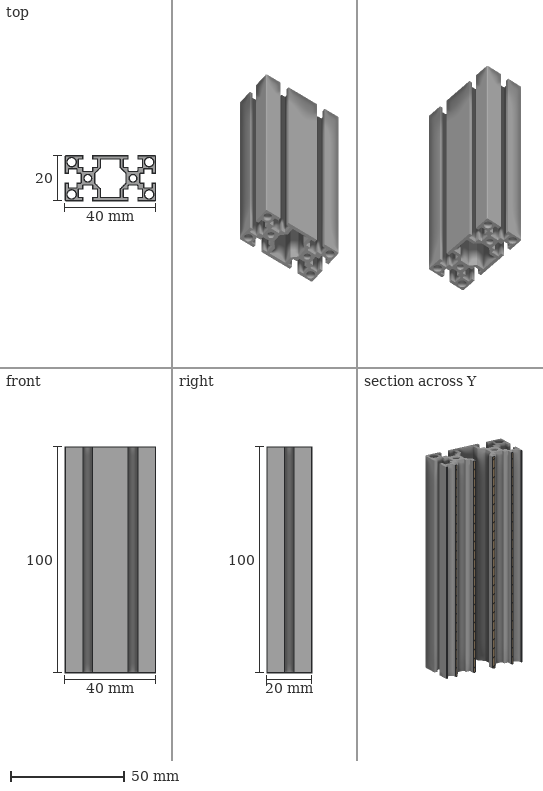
import cadquery as cq

WIDTH = 40.0
DEPTH = 20.0
LENGTH = 100.0
CORNER_RADIUS = 0.5

MODULE = 20.0
SLOT_OFFSET = (WIDTH - MODULE) / 2
WALL = 1.5
SLOT_OPENING = 4.3
SLOT_INNER_WIDTH = 8.4
SLOT_INNER_DEPTH = 3.7
SLOT_DEPTH = 7.0
FLOOR_RADIUS = 0.3

CORE_BORE_DIAMETER = 3.3
CORNER_BORE_DIAMETER = 4.0
CORNER_BORE_INSET = 2.85

CAVITY_HALF_WIDTH = SLOT_OFFSET - SLOT_INNER_WIDTH / 2 - WALL
CAVITY_HALF_DEPTH = DEPTH / 2 - WALL
CAVITY_WAIST_HALF_WIDTH = 6.9
CAVITY_WAIST_HALF_DEPTH = 2.2
CAVITY_SHOULDER = CAVITY_WAIST_HALF_DEPTH + CAVITY_WAIST_HALF_WIDTH - CAVITY_HALF_WIDTH


def make_body():
    """Full-length bar with rounded outer corners."""
    bar = cq.Workplane("XY").rect(WIDTH, DEPTH).extrude(LENGTH)
    return bar.edges("|Z").fillet(CORNER_RADIUS)


def make_slot():
    """T-slot cutter whose mouth lies on Y = 0 and which goes down along -Y."""
    shoulder = WALL + SLOT_INNER_DEPTH
    channel = cq.Workplane("XY").box(SLOT_OPENING, SLOT_DEPTH, LENGTH, centered=(True, False, False))
    channel = channel.translate((0, -SLOT_DEPTH, 0)).edges("|Z and <Y").fillet(FLOOR_RADIUS)
    inner = cq.Workplane("XY").box(SLOT_INNER_WIDTH, SLOT_INNER_DEPTH, LENGTH, centered=(True, False, False))
    return channel.union(inner.translate((0, -shoulder, 0)))


def cut_slots(body):
    """Two slots on each wide face and one on each narrow face."""
    slot = make_slot()
    left_slot = slot.translate((-SLOT_OFFSET, DEPTH / 2, 0))
    right_slot = slot.translate((SLOT_OFFSET, DEPTH / 2, 0))
    end_slot = slot.rotate((0, 0, 0), (0, 0, 1), -90).translate((WIDTH / 2, 0, 0))
    for placed_slot in (left_slot, right_slot, end_slot):
        opposite_slot = placed_slot.rotate((0, 0, 0), (0, 0, 1), 180)
        body = body.cut(placed_slot).cut(opposite_slot)
    return body


def cut_cavity(body):
    """Central through cavity with a wider waist between the slots."""
    quarter = [
        (CAVITY_HALF_WIDTH, CAVITY_HALF_DEPTH),
        (CAVITY_HALF_WIDTH, CAVITY_SHOULDER),
        (CAVITY_WAIST_HALF_WIDTH, CAVITY_WAIST_HALF_DEPTH),
    ]
    right_half = quarter + [(x, -y) for x, y in reversed(quarter)]
    left_half = [(-x, -y) for x, y in right_half]
    cavity = cq.Workplane("XY").polyline(right_half + left_half).close().extrude(LENGTH)
    return body.cut(cavity)


def cut_bores(body):
    """Core bores on the slot axes and a larger bore in each corner block."""
    core_centres = [(-SLOT_OFFSET, 0), (SLOT_OFFSET, 0)]
    corner_x = WIDTH / 2 - CORNER_BORE_INSET
    corner_y = DEPTH / 2 - CORNER_BORE_INSET
    corner_centres = [(sx * corner_x, sy * corner_y) for sx in (-1, 1) for sy in (-1, 1)]
    for centres, diameter in ((core_centres, CORE_BORE_DIAMETER), (corner_centres, CORNER_BORE_DIAMETER)):
        bores = cq.Workplane("XY").pushPoints(centres).circle(diameter / 2).extrude(LENGTH)
        body = body.cut(bores)
    return body


result = cut_bores(cut_cavity(cut_slots(make_body())))